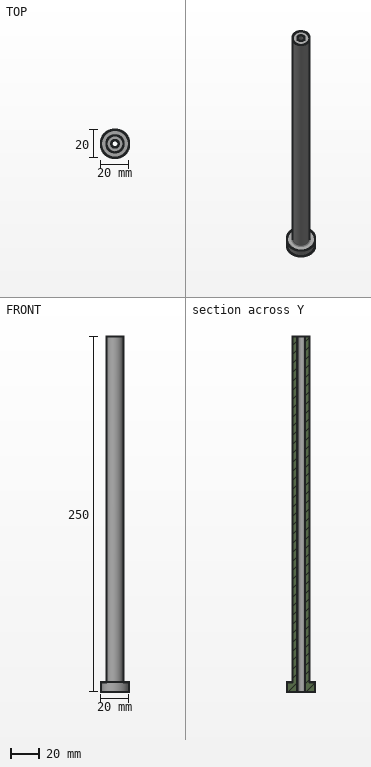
import cadquery as cq

total_length = 250.0
head_diameter = 20.0
head_height = 7.0
shank_diameter = 12.0
bore_diameter = 5.0
root_fillet = 0.5

head = cq.Workplane("XY").circle(head_diameter / 2).extrude(head_height)
shank = cq.Workplane("XY").circle(shank_diameter / 2).extrude(total_length)
bore = cq.Workplane("XY").circle(bore_diameter / 2).extrude(total_length)

body = head.union(shank)

root_edge = cq.selectors.RadiusNthSelector(0)
body = body.faces(cq.selectors.NearestToPointSelector((0, 0, head_height))).edges(root_edge).fillet(root_fillet)

result = body.cut(bore)